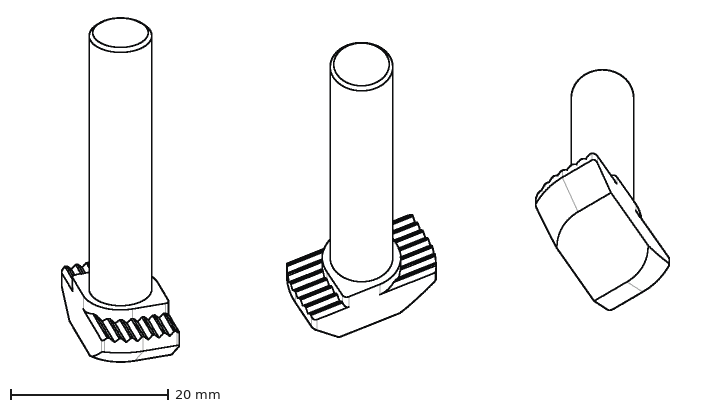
import cadquery as cq

total_height = 45.8
head_length = 19.0
head_width = 10.0

tooth_crest_height = 5.85
taper_height = 3.7
head_corner_radius = 0.5

tooth_count = 7
tooth_pitch = head_width / tooth_count
crest_width = 0.27
tooth_depth = (tooth_pitch - crest_width) / 2

collar_top = 7.35
collar_corner_radius = 0.6
shank_diameter = 7.95
shank_chamfer = 0.45

half_length = head_length / 2
half_width = head_width / 2
base_half_length = half_length - taper_height


def turning_block(half_x, half_y, turn_radius, corner_radius, height):
    """Block with a turning arc at -X+Y and +X-Y, and small rounds at the other two corners."""
    block = cq.Workplane("XY").box(2 * half_x, 2 * half_y, height, centered=(True, True, False))
    turning_cylinder = cq.Workplane("XY").circle(turn_radius).extrude(height)
    block = block.intersect(turning_cylinder.union(square_quadrants(half_x, half_y, height)))
    return block.edges("|Z and (>(1,1,0) or <(1,1,0))").fillet(corner_radius)


def square_quadrants(size_x, size_y, height):
    """Two boxes filling the +X+Y and -X-Y quadrants."""
    boxes = cq.Workplane("XY").pushPoints([(size_x / 2, size_y / 2), (-size_x / 2, -size_y / 2)])
    return boxes.rect(size_x, size_y).extrude(height)


def taper_envelope():
    """Flat 45 degree tapers in the square quadrants, and a cone in the turning quadrants."""
    half_profile = [
        (0, 0),
        (base_half_length, 0),
        (half_length, taper_height),
        (half_length, tooth_crest_height),
        (0, tooth_crest_height),
    ]
    cone = cq.Workplane("XZ").polyline(half_profile).close().revolve(360, (0, 0), (0, 1))
    half_prism = cq.Workplane("XZ").polyline(half_profile).close().extrude(half_width, both=True)
    prism = half_prism.union(half_prism.mirror("YZ"))
    return cone.union(prism.intersect(square_quadrants(half_length, half_width, tooth_crest_height)))


def tooth_grooves():
    """V grooves between the crests; the outermost two run out at the sides of the head."""
    grooves = cq.Workplane("YZ")
    for index in range(tooth_count + 1):
        valley_y = -half_width + index * tooth_pitch
        groove = (
            cq.Workplane("YZ")
            .moveTo(valley_y - tooth_depth, tooth_crest_height)
            .lineTo(valley_y, tooth_crest_height - tooth_depth)
            .lineTo(valley_y + tooth_depth, tooth_crest_height)
            .close()
            .extrude(half_length, both=True)
        )
        grooves = grooves.add(groove)
    return grooves.combine()


head = turning_block(half_length, half_width, half_length, head_corner_radius, tooth_crest_height)
head = head.edges("|Z and (>(1,-1,0) or <(1,-1,0))").fillet(head_corner_radius)
head = head.intersect(taper_envelope()).cut(tooth_grooves())

collar = turning_block(half_width, half_width, half_width, collar_corner_radius, collar_top)
collar_bottom = tooth_crest_height - tooth_depth
collar = collar.intersect(
    cq.Workplane("XY")
    .workplane(offset=collar_bottom)
    .rect(head_width, head_width)
    .extrude(collar_top - collar_bottom)
)

shank = (
    cq.Workplane("XY")
    .workplane(offset=collar_bottom)
    .circle(shank_diameter / 2)
    .extrude(total_height - collar_bottom)
    .faces(">Z")
    .chamfer(shank_chamfer)
)

result = head.union(collar).union(shank)